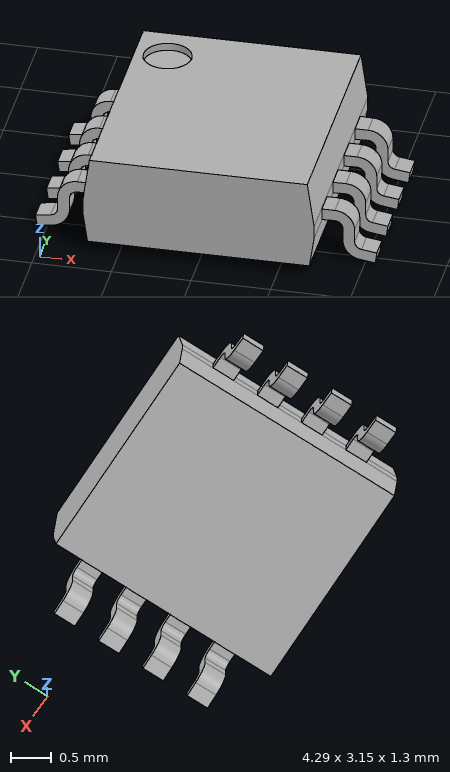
import cadquery as cq
import math

body_length = 3.15
body_width = 2.91
body_top_width = 2.735
body_bottom_width = 2.79
body_height = 1.165
waist_bottom = 0.408
waist_top = 0.575

marker_diameter = 0.6
marker_depth = 0.1
marker_x = -0.95
marker_y = 1.042

lead_span = 4.29
lead_drop = 0.135
lead_width = 0.3
lead_thickness = 0.15
lead_pitch = 0.648
leads_per_side = 4
shoulder_z = 0.485
leg_outer_x = 1.865
leg_x = leg_outer_x - lead_thickness / 2
inner_bend_radius = 0.1
bend_radius = inner_bend_radius + lead_thickness / 2
foot_angle = math.radians(8)


def make_body():
    """Drafted block with an upright waist band, and the pin-1 recess."""
    right_side = [
        (body_bottom_width / 2, 0),
        (body_width / 2, waist_bottom),
        (body_width / 2, waist_top),
        (body_top_width / 2, body_height),
    ]
    left_side = [(-x, z) for x, z in reversed(right_side)]
    block = (
        cq.Workplane("XZ")
        .polyline(right_side + left_side)
        .close()
        .extrude(body_length / 2, both=True)
    )
    marker = (
        cq.Workplane("XY", origin=(marker_x, marker_y, body_height - marker_depth))
        .circle(marker_diameter / 2)
        .extrude(marker_depth)
    )
    return block.cut(marker)


def make_lead():
    """Lead on the +X side at Y = 0: a flat strip swept along its middle line."""
    half_thickness = lead_thickness / 2
    tip_x = lead_span / 2 - half_thickness * math.sin(foot_angle)
    tip_z = -lead_drop + half_thickness * math.cos(foot_angle)

    foot_start_x = leg_x + bend_radius * (1 - math.sin(foot_angle))
    foot_start_z = tip_z + (tip_x - foot_start_x) * math.tan(foot_angle)
    leg_bottom_z = foot_start_z + bend_radius * math.cos(foot_angle)

    path = (
        cq.Workplane("XZ")
        .moveTo(body_width / 2, shoulder_z)
        .lineTo(leg_x - bend_radius, shoulder_z)
        .tangentArcPoint((leg_x, shoulder_z - bend_radius), relative=False)
        .lineTo(leg_x, leg_bottom_z)
        .tangentArcPoint((foot_start_x, foot_start_z), relative=False)
        .lineTo(tip_x, tip_z)
    )
    return (
        cq.Workplane("YZ", origin=(body_width / 2, 0, shoulder_z))
        .rect(lead_width, lead_thickness)
        .sweep(path)
    )


def place_leads():
    """Two opposite rows of equal leads, centred along the body."""
    lead = make_lead()
    first_y = -lead_pitch * (leads_per_side - 1) / 2
    leads = []
    for side_angle in (0, 180):
        row_lead = lead.rotate((0, 0, 0), (0, 0, 1), side_angle)
        for index in range(leads_per_side):
            leads.append(row_lead.translate((0, first_y + index * lead_pitch, 0)))
    return leads


body = make_body()
leads = place_leads()

result = cq.Compound.makeCompound([body.val(), *[lead.val() for lead in leads]])